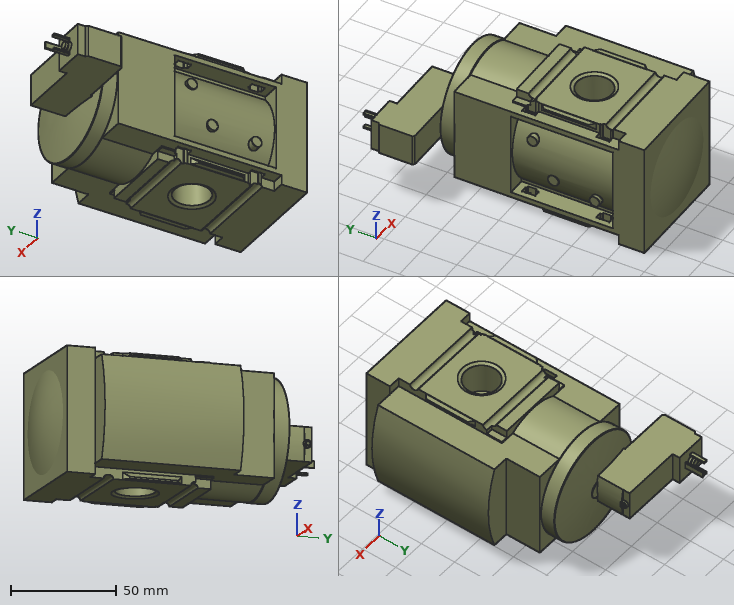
import cadquery as cq
import math


overall_length = 152.9
body_size = 62.0
half_size = body_size / 2
flat_half = 25.7
strip_y = 13.8
plate_end_y = 76.0
plate_half = 24.2
front_y = -0.5
body_end_y = 104.1
neck_radius = 30.1
dome_rise = 3.5
dome_radius = 25.0

flange_diameter = 60.5
flange_end_y = 112.4
flange_chamfer = 0.3
cap_diameter = flange_diameter - 2 * flange_chamfer
cap_rise = 2.9
cap_button_diameter = 10.0
cap_button_end_y = 115.6

cover_end_y = 84.0
cover_edge_x = 40.2
cover_crown_x = 45.0

window_y = (16.8, 73.0)
window_half = 22.8
core_radius = 29.7
core_half = 21.0
knobs = [
    (62.2, 11.0, 5.5, -29.4),
    (50.8, -8.4, 5.8, -29.2),
    (27.2, -11.0, 5.5, -30.6),
]

port_y = 45.0
port_diameter = 19.3
port_mouth_diameter = 23.0
port_mouth_depth = 0.9
port_depth = 18.3
groove_offset = 22.0
groove_diameter = 5.0
groove_depth = 2.0
notch_width = 3.8
notch_y = 67.0
notch_floor_z = 26.5
key_slot_length = 7.2
key_slot_depth = 3.4
key_slot_relief = 0.3
key_nose_length = 4.7
key_nose_depth = 1.4
key_slots = [(65.3, 65.7), (24.5, 24.5)]
ledge_root_half = 15.0
ledge_depth = 2.8
ledge_top_z = 30.7
ledge_lip_z = 29.8
ledge_bottom_z = 27.2

coil_x = (-51.8, -22.2)
coil_y = (114.2, 134.2)
coil_half = 8.5
coil_corner = 0.9
head_x = (-50.8, -33.3)
head_end_y = 138.4
base_end_x = 0.0
base_start_y = 110.9
base_bulge = 1.0
bulge_end_y = 130.3
button_y = 131.5
button_diameter = 2.0
button_end_x = 2.5
button_collar_diameter = 3.8
button_collar_x = 1.4

socket_x = -42.4
collar_diameter = 5.0
collar_end_y = 139.9
stud_diameter = 3.8
stud_end_y = 141.3
blade_thickness = 0.9
side_blade_width = 2.0
side_blade_z = 4.0
side_blade_end_y = 147.0
ground_blade_x = -38.0
ground_blade_width = 3.4
ground_blade_end_y = overall_length + front_y - dome_rise


def block(x, y, z):
    """Box between pairs of limits along each axis."""
    size = (x[1] - x[0], y[1] - y[0], z[1] - z[0])
    return cq.Workplane("XY").box(*size, centered=False).translate((x[0], y[0], z[0]))


def rod_y(diameter, y0, y1, x=0.0, z=0.0):
    return cq.Workplane("XZ", origin=(x, y0, z)).circle(diameter / 2).extrude(y0 - y1)


def rod_x(diameter, x0, x1, y, z):
    return cq.Workplane("YZ", origin=(x0, y, z)).circle(diameter / 2).extrude(x1 - x0)


def dome(radius, y, rise):
    """Spherical cap on the body axis; a negative rise points toward -Y."""
    sphere_radius = (radius**2 + rise**2) / (2 * abs(rise))
    mid_angle = math.asin(radius / sphere_radius) / 2
    crown_drop = sphere_radius * (1 - math.cos(mid_angle))
    mid = (sphere_radius * math.sin(mid_angle), y + rise - math.copysign(crown_drop, rise))
    profile = cq.Workplane("XY").moveTo(0, y).lineTo(radius, y).threePointArc(mid, (0, y + rise)).close()
    return profile.revolve(360, (0, 0, 0), (0, 1, 0))


def both_faces(solid):
    """The solid together with its mirror image below the XY plane."""
    return solid.union(solid.mirror("XY"))


def make_body():
    full = (-half_size, half_size)
    body = block(full, (0, body_end_y), (-flat_half, flat_half))
    body = body.union(block(full, (front_y, strip_y), full))
    body = body.union(block((-plate_half, plate_half), (0, plate_end_y), full))
    body = body.union(rod_y(2 * neck_radius, plate_end_y, body_end_y))
    return body.union(dome(dome_radius, front_y, -dome_rise))


def make_flange():
    flange = rod_y(flange_diameter, body_end_y, flange_end_y).edges().chamfer(flange_chamfer)
    flange = flange.union(dome(cap_diameter / 2, flange_end_y, cap_rise))
    return flange.union(rod_y(cap_button_diameter, flange_end_y, cap_button_end_y))


def make_cover():
    return (
        cq.Workplane("XZ", origin=(0, strip_y, 0))
        .moveTo(0, -flat_half)
        .lineTo(cover_edge_x, -flat_half)
        .threePointArc((cover_crown_x, 0), (cover_edge_x, flat_half))
        .lineTo(0, flat_half)
        .close()
        .extrude(strip_y - cover_end_y)
    )


def make_window():
    floor_x = -math.sqrt(core_radius**2 - core_half**2)
    opening = block((-half_size, floor_x), window_y, (-window_half, window_half))
    opening = opening.cut(rod_y(2 * core_radius, *window_y))
    for y, z, diameter, end_x in knobs:
        opening = opening.cut(rod_x(diameter, end_x, floor_x, y, z))
    return opening


def make_port():
    port = cq.Workplane("XY", origin=(0, port_y, half_size)).circle(port_diameter / 2).extrude(-port_depth)
    mouth = (
        cq.Workplane("XY", origin=(0, port_y, half_size))
        .circle(port_mouth_diameter / 2)
        .workplane(offset=-port_mouth_depth)
        .circle(port_diameter / 2)
        .loft()
    )
    return both_faces(port.union(mouth))


def make_grooves():
    axis_z = half_size - groove_depth + groove_diameter / 2
    grooves = cq.Workplane("XY")
    for y in (port_y - groove_offset, port_y + groove_offset):
        grooves = grooves.union(rod_x(groove_diameter, -plate_half, plate_half, y, axis_z))
    return both_faces(grooves)


def make_notches():
    notches = cq.Workplane("XY")
    for x0 in (-plate_half, plate_half - notch_width):
        x = (x0, x0 + notch_width)
        notches = notches.union(block(x, (notch_y, plate_end_y), (notch_floor_z, half_size)))
    return both_faces(notches)


def make_key_slots():
    """Slots through the -X strips into the window, each with a nose cut into the port plate."""
    z = (window_half, half_size)
    slot_x = (-plate_half - key_slot_depth, -plate_half + key_slot_relief)
    slots = cq.Workplane("XY")
    for slot_y, nose_y in key_slots:
        slot_span = (slot_y - key_slot_length / 2, slot_y + key_slot_length / 2)
        nose_span = (nose_y - key_nose_length / 2, nose_y + key_nose_length / 2)
        slots = slots.union(block(slot_x, slot_span, z))
        slots = slots.union(block((-plate_half, -plate_half + key_nose_depth), nose_span, z))
    return both_faces(slots)


def make_ledges():
    """Undercut ledges with 45 degree ends along both sides of each port plate."""
    tip_x = plate_half + ledge_depth
    tip_half = ledge_root_half - ledge_depth
    outline = [
        (plate_half, port_y - ledge_root_half),
        (tip_x, port_y - tip_half),
        (tip_x, port_y + tip_half),
        (plate_half, port_y + ledge_root_half),
    ]
    section = [
        (plate_half, ledge_bottom_z),
        (tip_x, ledge_lip_z),
        (tip_x, ledge_top_z),
        (plate_half, ledge_top_z),
    ]
    prism = cq.Workplane("XY").polyline(outline).close().extrude(half_size)
    wedge = cq.Workplane("XZ").polyline(section).close().extrude(-plate_end_y)
    ledge = prism.intersect(wedge)
    return both_faces(ledge.union(ledge.mirror("YZ")))


def make_solenoid():
    z = (-coil_half, coil_half)
    solenoid = block(coil_x, coil_y, z).edges("|Z and <X").chamfer(coil_corner)
    solenoid = solenoid.union(block(head_x, (coil_y[1], head_end_y), z))
    solenoid = solenoid.union(block((coil_x[1], base_end_x), (base_start_y, coil_y[1]), z))
    bulge = (
        cq.Workplane("XZ", origin=(base_end_x, base_start_y, 0))
        .moveTo(0, -coil_half)
        .threePointArc((base_bulge, 0), (0, coil_half))
        .close()
        .extrude(base_start_y - bulge_end_y)
    )
    solenoid = solenoid.union(bulge)
    solenoid = solenoid.union(rod_x(button_collar_diameter, base_end_x, button_collar_x, button_y, 0))
    return solenoid.union(rod_x(button_diameter, base_end_x, button_end_x, button_y, 0))


def make_contacts():
    contacts = rod_y(collar_diameter, head_end_y, collar_end_y, socket_x)
    contacts = contacts.union(rod_y(stud_diameter, head_end_y, stud_end_y, socket_x))
    blades = [
        (socket_x, side_blade_z, side_blade_width, blade_thickness, side_blade_end_y),
        (socket_x, -side_blade_z, side_blade_width, blade_thickness, side_blade_end_y),
        (ground_blade_x, 0, blade_thickness, ground_blade_width, ground_blade_end_y),
    ]
    for x, z, width_x, width_z, end_y in blades:
        x_span = (x - width_x / 2, x + width_x / 2)
        z_span = (z - width_z / 2, z + width_z / 2)
        contacts = contacts.union(block(x_span, (head_end_y, end_y), z_span))
    return contacts


result = make_body().union(make_cover())
result = result.cut(make_grooves()).cut(make_notches()).cut(make_port())
result = result.cut(make_window()).cut(make_key_slots())
result = result.union(make_ledges()).union(make_flange())
result = result.union(make_solenoid()).union(make_contacts())